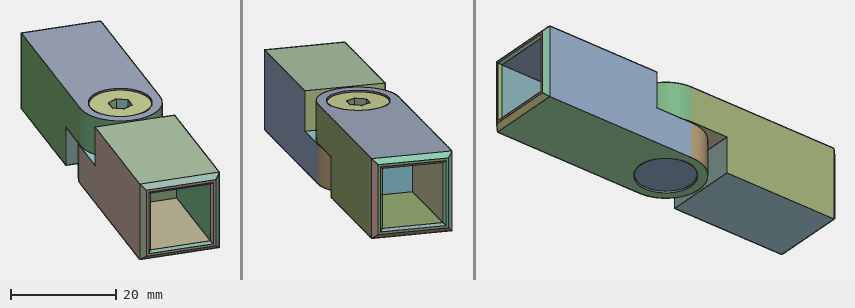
import cadquery as cq
import math

length = 71.0
side = 16.0

pivot_radius = side / 2
shoulder_gap = 0.5
tongue_gap = 0.2
shoulder_distance = pivot_radius + shoulder_gap
tongue_height = (side - tongue_gap) / 2

end_chamfer = 1.0
socket_width = 12.0
socket_depth = 20.0
socket_chamfer = 0.5

pin_diameter = 11.85
pin_clearance = 0.15
pin_recess = 0.3
hole_diameter = pin_diameter + 2 * pin_clearance
pin_length = side - 2 * pin_recess

hex_across_flats = 4.0
hex_across_corners = hex_across_flats / math.cos(math.radians(30))
hex_depth = 3.0


def make_body_block():
    """Full-section block from the outer end to the shoulder, chamfered at the end."""
    return (
        cq.Workplane("YZ")
        .workplane(offset=-length / 2)
        .rect(side, side)
        .extrude(length / 2 - shoulder_distance)
        .faces("<X")
        .chamfer(end_chamfer)
    )


def make_tongue():
    """Upper half-height tongue that ends in a half circle about the pivot."""
    return (
        cq.Workplane("XY")
        .workplane(offset=tongue_gap / 2)
        .moveTo(-shoulder_distance, -side / 2)
        .lineTo(0, -side / 2)
        .threePointArc((pivot_radius, 0), (0, side / 2))
        .lineTo(-shoulder_distance, side / 2)
        .close()
        .extrude(tongue_height)
    )


def make_socket():
    """Square cavity with a tapered mouth, as a solid to cut away."""
    end_plane = cq.Workplane("YZ").workplane(offset=-length / 2)
    cavity = end_plane.rect(socket_width, socket_width).extrude(socket_depth)
    mouth_width = socket_width + 2 * socket_chamfer
    mouth = end_plane.rect(mouth_width, mouth_width).extrude(socket_chamfer, taper=45)
    return cavity.union(mouth)


def make_arm():
    """Arm on the -X side, with the upper tongue."""
    pin_hole = cq.Workplane("XY").circle(hole_diameter / 2).extrude(side / 2)
    return make_body_block().union(make_tongue()).cut(make_socket()).cut(pin_hole)


def make_pivot_pin():
    """Round pin through both tongues, just below flush, with a hexagonal drive."""
    pin = cq.Workplane("XY").circle(pin_diameter / 2).extrude(pin_length / 2, both=True)
    drive = (
        cq.Workplane("XY")
        .workplane(offset=pin_length / 2 - hex_depth)
        .polygon(6, hex_across_corners)
        .extrude(hex_depth)
    )
    return pin.cut(drive)


arms = []
for turn in (0, 180):
    arms.append(make_arm().rotate((0, 0, 0), (0, 1, 0), turn))

pivot_pin = make_pivot_pin()

result = cq.Compound.makeCompound([*(arm.val() for arm in arms), pivot_pin.val()])